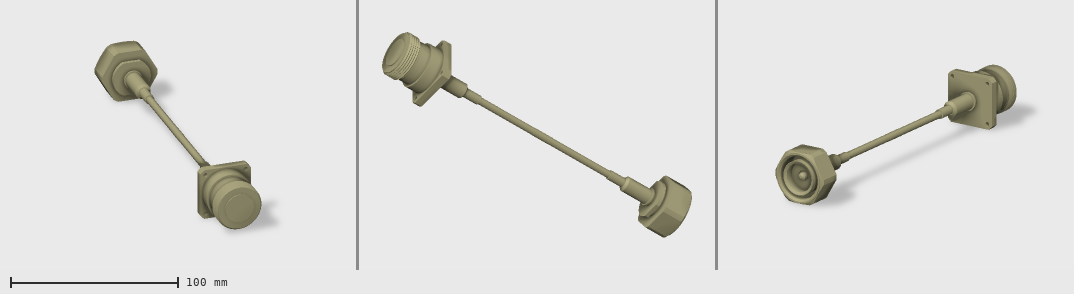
import cadquery as cq
import math

overall_length = 210.61

nut_across_flats = 32.0
nut_corner_diameter = 35.23
nut_length = 15.2
nut_lip_length = 0.6
nut_lip_radius = 15.6
nut_bevel_end = 1.7
nut_bore_radius = 13.4
nut_mouth_radius = 14.6
nut_mouth_depth = 1.2
nut_wall = 3.0

collar_radius = 10.2
wrench_ring_radius = 11.9
wrench_ring_across_flats = 21.2
wrench_ring_start = 16.7
wrench_ring_end = 19.0
contact_tube_radius = 10.7
contact_tube_front = 0.2
contact_bore_radius = 8.9
contact_bore_mouth_radius = 10.4
contact_bore_mouth_depth = 1.0
contact_bore_floor = 6.5
pin_radius = 2.4
pin_relief_radius = 3.6
pin_relief_depth = 0.6
pin_tip_radius = 0.9
pin_tip_length = 1.2
pin_front = 3.0

barrel_radius = 4.85
barrel_bevel_end_radius = 3.3
barrel_bevel_length = 1.5
ring_radius = 5.8
sleeve_radius = 2.95
sleeve_length = 10.5

plug_ring_start = 20.5
plug_ring_width = 1.0
plug_barrel_end = 39.9

socket_barrel_start = 158.4
socket_ring_start = 177.3
socket_ring_width = 1.3

cable_radius = 2.25
cable_insertion = 5.0
marker_radius = 2.35
marker_start = 94.1
marker_length = 12.7

flange_start = 180.3
flange_thickness = 5.1
flange_side = 32.0
flange_corner_diameter = 41.9
flange_hole_spacing = 25.4
flange_hole_diameter = 2.7
shoulder_radius = 14.7
shoulder_length = 8.4
neck_radius = 13.1
thread_crest_radius = 14.5
thread_root_radius = 13.4
thread_pitch = 1.5
thread_start = 202.6
thread_count = 5
socket_lip_radius = 9.0
socket_lip_length = 0.6


def revolve_about_x(points):
    """Solid of revolution about the X axis from (x, radius) points."""
    return cq.Workplane("XY").polyline(points).close().revolve(360, (0, 0, 0), (1, 0, 0))


def cylinder(start, end, radius):
    """Round bar on the X axis between two X positions."""
    return cq.Workplane("YZ").workplane(offset=start).circle(radius).extrude(end - start)


def make_cable_entry(barrel_end, connector_face, ring_start, ring_width, direction):
    """Barrel, ring and cable sleeve; direction is the X sense from connector to cable."""
    bevel_start = barrel_end - direction * barrel_bevel_length
    sleeve_end = barrel_end + direction * sleeve_length
    ring_end = ring_start + ring_width
    tail = revolve_about_x([
        (connector_face, 0),
        (connector_face, barrel_radius),
        (bevel_start, barrel_radius),
        (barrel_end, barrel_bevel_end_radius),
        (barrel_end, sleeve_radius),
        (sleeve_end, sleeve_radius),
        (sleeve_end, 0),
    ])
    return tail.union(cylinder(ring_start, ring_end, ring_radius))


def make_coupling_nut():
    hex_diameter = nut_across_flats / math.cos(math.radians(30))
    hexagon = cq.Workplane("YZ").polygon(6, hex_diameter).extrude(nut_length)
    corner_radius = nut_corner_diameter / 2
    cavity_floor = nut_length - nut_wall
    envelope = revolve_about_x([
        (0, nut_mouth_radius),
        (0, nut_lip_radius),
        (nut_lip_length, nut_lip_radius),
        (nut_bevel_end, corner_radius),
        (nut_length, corner_radius),
        (nut_length, collar_radius),
        (cavity_floor, collar_radius),
        (cavity_floor, nut_bore_radius),
        (nut_mouth_depth, nut_bore_radius),
    ])
    return hexagon.intersect(envelope)


def make_wrench_ring():
    flats = cq.Workplane("XY").box(
        wrench_ring_end, 2 * wrench_ring_radius, wrench_ring_across_flats, centered=(False, True, True)
    )
    return cylinder(wrench_ring_start, wrench_ring_end, wrench_ring_radius).intersect(flats)


def make_plug_body(cable):
    cavity_floor = nut_length - nut_wall
    bore_mouth_end = contact_tube_front + contact_bore_mouth_depth
    relief_floor = contact_bore_floor + pin_relief_depth
    shell = revolve_about_x([
        (relief_floor, 0),
        (relief_floor, pin_relief_radius),
        (contact_bore_floor, pin_relief_radius),
        (contact_bore_floor, contact_bore_radius),
        (bore_mouth_end, contact_bore_radius),
        (contact_tube_front, contact_bore_mouth_radius),
        (contact_tube_front, contact_tube_radius),
        (cavity_floor, contact_tube_radius),
        (cavity_floor, collar_radius),
        (wrench_ring_end, collar_radius),
        (wrench_ring_end, 0),
    ])
    pin = revolve_about_x([
        (pin_front, 0),
        (pin_front, pin_tip_radius),
        (pin_front + pin_tip_length, pin_radius),
        (relief_floor, pin_radius),
        (relief_floor, 0),
    ])
    tail = make_cable_entry(plug_barrel_end, wrench_ring_end, plug_ring_start, plug_ring_width, 1)
    return shell.union(pin).union(make_wrench_ring()).union(tail).cut(cable)


def make_cable():
    start = plug_barrel_end - cable_insertion
    end = socket_barrel_start + cable_insertion
    return cylinder(start, end, cable_radius)


def make_marker(cable):
    return cylinder(marker_start, marker_start + marker_length, marker_radius).cut(cable)


def make_flange():
    flange_end = flange_start + flange_thickness
    mounting_face = cq.Workplane("YZ").workplane(offset=flange_start)
    plate = mounting_face.rect(flange_side, flange_side).extrude(flange_thickness)
    holes = (
        mounting_face.rect(flange_hole_spacing, flange_hole_spacing, forConstruction=True)
        .vertices()
        .circle(flange_hole_diameter / 2)
        .extrude(flange_thickness)
    )
    return plate.intersect(cylinder(flange_start, flange_end, flange_corner_diameter / 2)).cut(holes)


def make_socket_barrel():
    """Shoulder, neck, ring thread and front lip beyond the flange."""
    flange_end = flange_start + flange_thickness
    shoulder_end = flange_end + shoulder_length
    front = overall_length - socket_lip_length
    outline = [
        (flange_end, 0),
        (flange_end, shoulder_radius),
        (shoulder_end, shoulder_radius),
        (shoulder_end, neck_radius),
        (thread_start - thread_pitch, neck_radius),
        (thread_start - thread_pitch, thread_root_radius),
        (thread_start - thread_pitch / 2, thread_root_radius),
    ]
    for turn in range(thread_count):
        crest = thread_start + turn * thread_pitch
        outline.append((crest, thread_crest_radius))
        outline.append((crest + thread_pitch / 2, thread_root_radius))
    outline += [
        (front, thread_root_radius),
        (front, socket_lip_radius),
        (overall_length, socket_lip_radius),
        (overall_length, 0),
    ]
    return revolve_about_x(outline)


def make_socket_body(cable):
    tail = make_cable_entry(socket_barrel_start, flange_start, socket_ring_start, socket_ring_width, -1)
    return make_flange().union(make_socket_barrel()).union(tail).cut(cable)


cable = make_cable()
marker = make_marker(cable)
coupling_nut = make_coupling_nut()
plug_body = make_plug_body(cable)
socket_body = make_socket_body(cable)

result = cq.Compound.makeCompound([
    coupling_nut.val(),
    plug_body.val(),
    cable.val(),
    marker.val(),
    socket_body.val(),
])